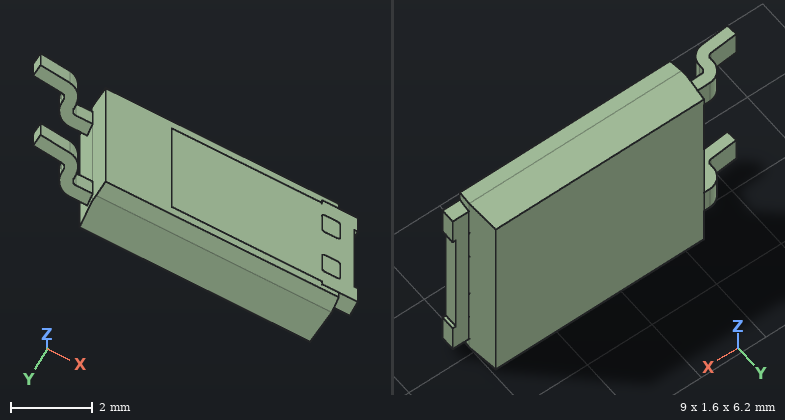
import cadquery as cq
import math


housing_length = 6.6
housing_width = 6.2
housing_height = 1.4
draft_slope = math.tan(math.radians(5))
parting_height = 0.42
lead_parting_height = 0.6

tab_thickness = parting_height
tab_overhang = 0.5
tab_length = 5.2
tab_width = 5.14
tab_head_length = 1.0
tab_head_width = 5.5
tab_notch_depth = 0.1
slot_length = tab_head_length - tab_overhang
slot_width = 1.1
slot_spacing = 2.6
slot_corner_radius = 0.1
tab_notch_width = slot_spacing + slot_width

lead_thickness = 0.34
lead_width = 0.8
lead_spacing = 4.57
lead_reach = 1.9
lead_underside = 0.57
lead_standoff = 0.2
riser_offset = 0.6
inner_bend_radius = 0.12
outer_bend_radius = inner_bend_radius + lead_thickness
foot_angle = math.radians(5)

housing_left = -housing_length / 2
housing_right = housing_length / 2
tab_end = housing_right + tab_overhang
tab_head_start = tab_end - tab_head_length


def inset(height_change):
    """Distance a drafted side leans inwards over a change of height."""
    return height_change * draft_slope


def slots():
    """The two rounded openings of the tab, as solids through its thickness."""
    return (
        cq.Workplane("XZ")
        .pushPoints([(tab_head_start + slot_length / 2, side * slot_spacing / 2) for side in (-1, 1)])
        .rect(slot_length, slot_width)
        .extrude(-tab_thickness)
        .edges("|Y")
        .fillet(slot_corner_radius)
    )


def plate(x_start, x_end, width):
    """Rectangular piece of the tab, centred on Z = 0."""
    return (
        cq.Workplane("XZ")
        .center((x_start + x_end) / 2, 0)
        .rect(x_end - x_start, width)
        .extrude(-tab_thickness)
    )


def tab_blank():
    """Tab outline before the slots are opened."""
    narrow_part = plate(tab_end - tab_length, tab_end, tab_width)
    head = plate(tab_head_start, tab_end, tab_head_width)
    notch = plate(tab_end - tab_notch_depth, tab_end, tab_notch_width)
    return narrow_part.union(head).cut(notch)


def make_tab():
    return tab_blank().cut(slots())


def drafted_block():
    """Housing envelope: the lengthwise section limited by the crosswise section."""
    upper_inset = inset(housing_height - parting_height)
    lower_inset = inset(parting_height)
    lengthwise = (
        cq.Workplane("XY")
        .polyline([
            (housing_left + inset(lead_parting_height), 0),
            (housing_right - lower_inset, 0),
            (housing_right, parting_height),
            (housing_right - upper_inset, housing_height),
            (housing_left + inset(housing_height - lead_parting_height), housing_height),
            (housing_left, lead_parting_height),
        ])
        .close()
        .extrude(housing_width / 2, both=True)
    )
    half_width = housing_width / 2
    crosswise = (
        cq.Workplane("YZ")
        .polyline([
            (0, -half_width + lower_inset),
            (parting_height, -half_width),
            (housing_height, -half_width + upper_inset),
            (housing_height, half_width - upper_inset),
            (parting_height, half_width),
            (0, half_width - lower_inset),
        ])
        .close()
        .extrude(housing_length / 2, both=True)
    )
    return lengthwise.intersect(crosswise)


def make_housing():
    """Housing with a recess for the tab; its material fills the tab slots."""
    return drafted_block().cut(tab_blank()).union(slots())


def bend_point(center, radius, angle):
    return (center[0] + radius * math.cos(angle), center[1] + radius * math.sin(angle))


def make_lead(z_center, housing):
    """Z-bent lead whose root ends flush against the drafted housing side."""
    riser_near = housing_left - riser_offset
    riser_far = riser_near - lead_thickness
    lead_top = lead_underside + lead_thickness
    root = housing_left + inset(housing_height)

    tip_top_x = housing_left - lead_reach
    tip_bottom = (tip_top_x + lead_thickness * math.sin(foot_angle), -lead_standoff)
    tip_top = (tip_top_x, -lead_standoff + lead_thickness * math.cos(foot_angle))

    upper_center = (riser_near + inner_bend_radius, lead_underside - inner_bend_radius)
    lower_center_x = riser_far - inner_bend_radius
    foot_end = -math.pi / 2 + foot_angle
    foot_end_x = lower_center_x + outer_bend_radius * math.cos(foot_end)
    foot_rise = (foot_end_x - tip_bottom[0]) * math.tan(foot_angle)
    lower_center_y = tip_bottom[1] + foot_rise - outer_bend_radius * math.sin(foot_end)
    lower_center = (lower_center_x, lower_center_y)

    upper_middle = 3 * math.pi / 4
    lower_middle = foot_end / 2
    profile = (
        cq.Workplane("XY")
        .workplane(offset=z_center)
        .moveTo(*tip_bottom)
        .lineTo(*bend_point(lower_center, outer_bend_radius, foot_end))
        .threePointArc(
            bend_point(lower_center, outer_bend_radius, lower_middle),
            (riser_near, lower_center_y),
        )
        .lineTo(riser_near, upper_center[1])
        .threePointArc(
            bend_point(upper_center, inner_bend_radius, upper_middle),
            (upper_center[0], lead_underside),
        )
        .lineTo(root, lead_underside)
        .lineTo(root, lead_top)
        .lineTo(upper_center[0], lead_top)
        .threePointArc(
            bend_point(upper_center, outer_bend_radius, upper_middle),
            (riser_far, upper_center[1]),
        )
        .lineTo(riser_far, lower_center_y)
        .threePointArc(
            bend_point(lower_center, inner_bend_radius, lower_middle),
            bend_point(lower_center, inner_bend_radius, foot_end),
        )
        .lineTo(*tip_top)
        .close()
    )
    return profile.extrude(lead_width / 2, both=True).cut(housing)


housing = make_housing()
tab = make_tab()
leads = [make_lead(side * lead_spacing / 2, housing) for side in (-1, 1)]

result = cq.Compound.makeCompound([
    housing.solids().val(),
    tab.solids().val(),
    *[lead.solids().val() for lead in leads],
])